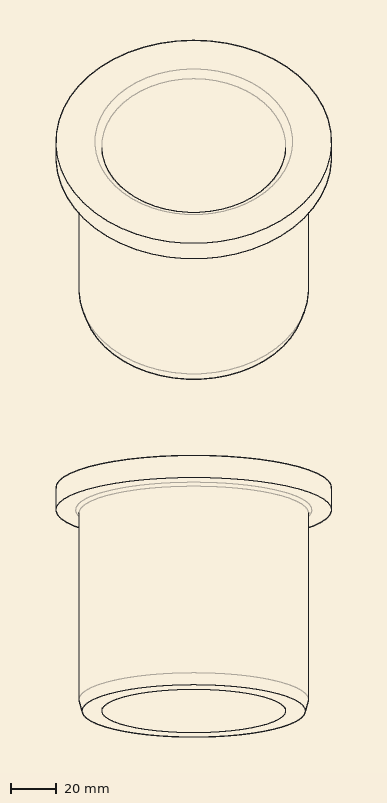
import cadquery as cq
import math

flange_diameter = 120.0
flange_thickness = 10.0
body_diameter = 100.0
bore_diameter = 80.0
total_height = 100.0
bore_lip_radius = 3.0
neck_fillet_radius = 1.5
lead_in_height = 5.0
lead_in_angle = 15.0

flange_radius = flange_diameter / 2
body_radius = body_diameter / 2
bore_radius = bore_diameter / 2
flange_underside = total_height - flange_thickness
lead_in_inset = lead_in_height * math.tan(math.radians(lead_in_angle))


def make_sleeve():
    """Flanged sleeve with a tapered lead-in at the bottom, axis along Z."""
    profile = (
        cq.Workplane("XZ")
        .moveTo(bore_radius, 0)
        .lineTo(body_radius - lead_in_inset, 0)
        .lineTo(body_radius, lead_in_height)
        .lineTo(body_radius, flange_underside)
        .lineTo(flange_radius, flange_underside)
        .lineTo(flange_radius, total_height)
        .lineTo(bore_radius, total_height)
        .close()
    )
    return profile.revolve(360, (0, 0, 0), (0, 1, 0))


def round_bore_lip(sleeve):
    """Round the top edge of the bore."""
    return sleeve.faces(">Z").edges(cq.selectors.RadiusNthSelector(0)).fillet(bore_lip_radius)


def fillet_neck(sleeve):
    """Fillet the corner where the body meets the flange underside."""
    underside = sleeve.faces("%PLANE and (not >Z) and (not <Z)")
    neck_edge = underside.edges(cq.selectors.RadiusNthSelector(0))
    return neck_edge.fillet(neck_fillet_radius)


result = fillet_neck(round_bore_lip(make_sleeve()))